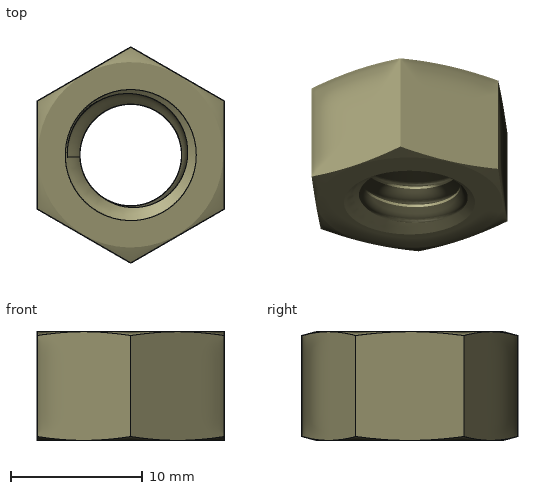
import cadquery as cq
import math

side_count = 6
half_corner_angle = 180 / side_count
across_flats = 14.2875
across_corners = across_flats / math.cos(math.radians(half_corner_angle))
height = 8.334

bevel_circle_dia = 14.145
bevel_angle = 15.0
blank_margin = 1.0

major_dia = 9.525
minor_dia = 7.74
pitch = 25.4 / 16
flank_angle = 30.0
root_width = 0.35
thread_turns = math.ceil(height / pitch)
thread_end_angle = 182.0
level_angle = 180.0
tool_overlap = 0.08

countersink_dia = 10.0
countersink_angle = 30.0


def slope_rise(run, angle):
    """Axial rise of a slope over a radial run."""
    return run * math.tan(math.radians(angle))


def hexagon_body():
    """Hexagonal prism with two corners on the Y axis."""
    return (
        cq.Workplane("XY")
        .polygon(side_count, across_corners)
        .extrude(height)
        .rotate((0, 0, 0), (0, 0, 1), half_corner_angle)
    )


def bevel_envelope():
    """Turned blank whose sloping ends bevel the hexagon corners."""
    flat_radius = bevel_circle_dia / 2
    outer_radius = across_corners / 2 + blank_margin
    drop = slope_rise(outer_radius - flat_radius, bevel_angle)
    return (
        cq.Workplane("XZ")
        .polyline([
            (0, 0),
            (flat_radius, 0),
            (outer_radius, drop),
            (outer_radius, height - drop),
            (flat_radius, height),
            (0, height),
        ])
        .close()
        .revolve(360, (0, 0, 0), (0, 1, 0))
    )


def bore_cutter():
    """Minor-diameter bore with a countersink at both ends."""
    bore_radius = minor_dia / 2
    rim_radius = countersink_dia / 2
    depth = slope_rise(rim_radius - bore_radius, countersink_angle)
    return (
        cq.Workplane("XZ")
        .polyline([
            (0, 0),
            (rim_radius, 0),
            (bore_radius, depth),
            (bore_radius, height - depth),
            (rim_radius, height),
            (0, height),
        ])
        .close()
        .revolve(360, (0, 0, 0), (0, 1, 0))
    )


def thread_cutter():
    """Helical round-root groove that stops in the top countersink on the -X side."""
    bore_radius = minor_dia / 2
    root_radius = major_dia / 2
    inner_radius = bore_radius - tool_overlap
    half_root = root_width / 2
    root_apex = root_radius + half_root * math.tan(math.radians(45 - flank_angle / 2))
    half_opening = half_root + slope_rise(root_radius - inner_radius, flank_angle)
    length = thread_turns * pitch
    helix = cq.Wire.makeHelix(pitch, length, bore_radius)
    groove = (
        cq.Workplane("XZ")
        .moveTo(inner_radius, -half_opening)
        .lineTo(root_radius, -half_root)
        .threePointArc((root_apex, 0), (root_radius, half_root))
        .lineTo(inner_radius, half_opening)
        .close()
        .sweep(cq.Workplane(obj=helix), isFrenet=True)
    )
    end_height = height + pitch * (thread_end_angle - level_angle) / 360
    return (
        groove
        .rotate((0, 0, 0), (0, 0, 1), thread_end_angle)
        .translate((0, 0, end_height - length))
    )


nut = hexagon_body().intersect(bevel_envelope())
nut = nut.cut(bore_cutter())
result = nut.cut(thread_cutter())